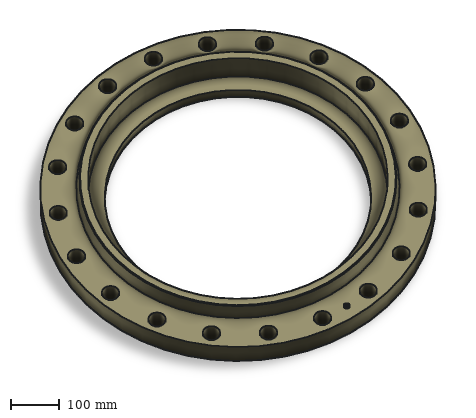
import cadquery as cq
import math

flange_diameter = 812.5
flange_thickness = 49.0
raised_face_diameter = 712.0
raised_face_height = 5.0

hub_base_diameter = 665.0
hub_top_diameter = 652.0
hub_height = 34.0
hub_base_band_height = 2.5
hub_top_chamfer = 2.0

bore_diameter = 548.0
socket_diameter = 616.0
socket_depth = 63.0

bolt_count = 20
bolt_circle_diameter = 749.0
bolt_hole_diameter = 36.0

recess_diameter = 13.0
recess_depth = 2.0
pilot_diameter = 6.0
pilot_depth = 10.0
pilot_angle = 360 / bolt_count / 2

flange_bottom = raised_face_height
flange_top = flange_bottom + flange_thickness
hub_top = flange_top + hub_height
socket_floor = hub_top - socket_depth


def ring_body():
    """Revolve the half section of the ring about the Z axis."""
    section = [
        (bore_diameter / 2, 0),
        (raised_face_diameter / 2, 0),
        (raised_face_diameter / 2, flange_bottom),
        (flange_diameter / 2, flange_bottom),
        (flange_diameter / 2, flange_top),
        (hub_base_diameter / 2, flange_top),
        (hub_base_diameter / 2, flange_top + hub_base_band_height),
        (hub_top_diameter / 2, hub_top),
        (socket_diameter / 2, hub_top),
        (socket_diameter / 2, socket_floor),
        (bore_diameter / 2, socket_floor),
    ]
    ring = cq.Workplane("XZ").polyline(section).close().revolve(360, (0, 0, 0), (0, 1, 0))
    hub_top_edge = cq.selectors.RadiusNthSelector(-1)
    return ring.faces(">Z").edges(hub_top_edge).chamfer(hub_top_chamfer)


def bolt_holes():
    """Cylinders that cut the bolt holes through the flange."""
    return (
        cq.Workplane("XY")
        .polarArray(bolt_circle_diameter / 2, 0, 360, bolt_count)
        .circle(bolt_hole_diameter / 2)
        .extrude(flange_top)
    )


def pilot_hole():
    """Stepped cylinder that cuts the recess and its pilot hole, on the bolt circle."""
    angle = math.radians(pilot_angle)
    x = bolt_circle_diameter / 2 * math.cos(angle)
    y = bolt_circle_diameter / 2 * math.sin(angle)
    start = cq.Workplane("XY", origin=(x, y, flange_top))
    recess = start.circle(recess_diameter / 2).extrude(-recess_depth)
    pilot = start.circle(pilot_diameter / 2).extrude(-pilot_depth)
    return recess.union(pilot)


result = ring_body().cut(bolt_holes()).cut(pilot_hole())